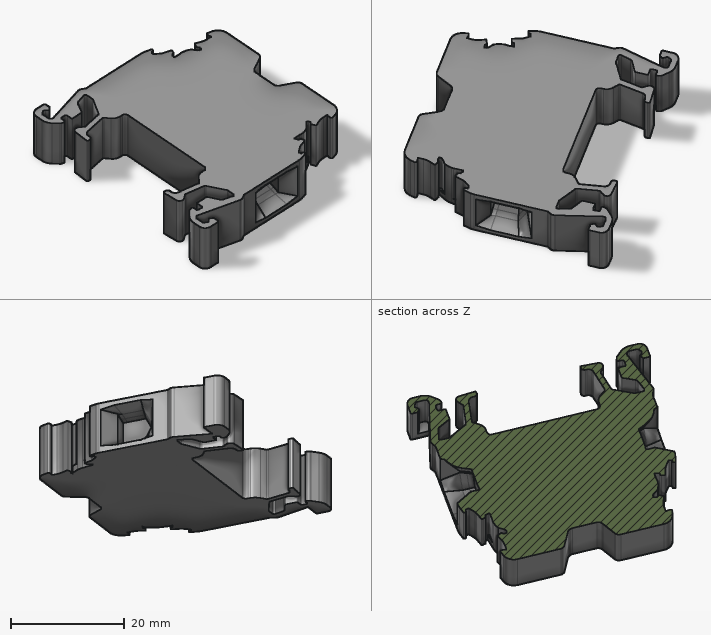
import cadquery as cq
import math

length = 44.35
height = 40.0
thickness = 9.5
web_thickness = 1.35
web_overlap = 0.2

half_length = length / 2
body_half = 20.1
mid_z = thickness / 2

slot_top = 11.9
slot_half = 10.4
arch_top = 10.4
hook_top = 3.45
hook_corner = 0.25
hook_floor = 1.2
hook_tip = -20.85
leg_root = (-18.18, hook_floor)
leg_bulge = (-20.7, 10.55)
groove_low = (-15.65, 28.35)
groove_bend = (-15.1, 31.65)
groove_high = (-13.9, 33.55)
groove_radius = 3.55
groove_foot_x = -15.25
notch_floor = 36.17
notch_floor_half = 2.9
notch_top_half = 4.9


def point_between(start, end, share):
    """Point on the straight line from start to end, at the given share of its length."""
    return tuple(a + share * (b - a) for a, b in zip(start, end))


rail_slot = [
    (-slot_half, slot_top, 0.7),
    (-slot_half, 9.7, 2.0),
    (-12.3, 8.25, 0.25),
]
foot = [
    (-11.35, 2.95, 0.98),
    (-9.55, 2.95, 0.6),
    (-9.65, 1.8, 0.18),
    (-14.27, 2.15, 0.8),
    (-12.72, 4.25, 0.2),
    (-13.48, 8.4, 0.35),
]
spring_leg = [
    (-17.1, arch_top, 0.15),
    (-19.05, arch_top, 0.35),
    (-18.35, 7.85, 0.8),
    (-15.85, 6.5, 0.1),
    (-15.85, 4.1, 0.1),
    (-17.38, 4.1, 0.25),
    (-17.38, 2.8, 0.25),
    (-16.05, 2.8, 0.35),
    (-16.35, 1.77, 0.45),
]
hook = [
    (-18.25, 0, 2.65),
    (-half_length, 0, 1.4),
    (-half_length, hook_top, hook_corner),
    (hook_tip, hook_top, 0),
    (-20.35, 2.75, 0.18),
    (-21.05, 2.05, 0.45),
    (-20.5, hook_floor, 0.35),
    (*leg_root, 0.58),
    (*leg_bulge, 1.1),
]
side = [
    (-body_half, 11.6, 0.2),
    (-body_half, 25.6, 2.65),
    (-19.6, 27.4, 0.2),
    (-19.1, 27.2, 0.15),
    (-19.0, 26.75, 0),
    (-18.5, 26.6, 0.15),
    (-17.55, 27.85, 1.35),
    (-17.0, 29.65, 0.18),
    (-16.2, 29.45, 0.15),
    (-16.05, 28.9, 0.1),
    (groove_foot_x, 28.65, 0.1),
]
label_groove = [
    (groove_foot_x, 29.92, 0),
    (*point_between(groove_low, groove_bend, 0.65), 0),
    (*groove_bend, groove_radius),
    (*point_between(groove_bend, groove_high, 0.35), 0),
    (-13.88, 32.9, 0.15),
    (-13.55, 33.25, 0.1),
    (-13.55, 33.65, 0.1),
    (-14.15, 33.8, 0.1),
    (-14.5, 33.42, 0.1),
    (-15.45, 33.85, 0.15),
]
shoulder = [
    (-14.75, 35.55, 3.55),
    (-14.75, 37.25, 0),
    (-15.25, 37.15, 0.1),
    (-16.0, 37.15, 0.3),
    (-15.25, height, 2.2),
]
top_notch = [
    (-notch_top_half, height, 1.05),
    (-notch_floor_half, notch_floor, 1.05),
]
half_outline = rail_slot + foot + spring_leg + hook + side + label_groove + shoulder + top_notch

pocket_wall = 23.05
pocket_tip = 0.2
pocket_sections = [
    (0, [(24.85, 3.45), (22.2, 3.8), (16.95, 3.8), (14.55, 3.45)]),
    (3.05, [(pocket_wall, 3.4), (22.2, 3.25), (17.95, 3.25), (16.25, pocket_tip)]),
    (4.2, [(pocket_wall, 2.9), (22.2, 2.85), (18.25, 2.85), (16.75, pocket_tip)]),
    (5.25, [(pocket_wall, 2.5), (22.2, 2.5), (18.55, 2.5), (17.25, pocket_tip)]),
]


def rounded_prism(corners, depth):
    """Extrude a closed outline from Z = 0, rounding every corner by its own radius."""
    tangents = []
    for i, (x, y, radius) in enumerate(corners):
        corner = cq.Vector(x, y)
        to_last = (cq.Vector(*corners[i - 1][:2]) - corner).normalized()
        to_next = (cq.Vector(*corners[(i + 1) % len(corners)][:2]) - corner).normalized()
        half_angle = to_last.getAngle(to_next) / 2
        reach = radius / math.tan(half_angle)
        bisector = (to_last + to_next).normalized()
        middle = corner + bisector * (radius / math.sin(half_angle) - radius)
        tangents.append((corner + to_last * reach, middle, corner + to_next * reach))

    first = tangents[0][0]
    path = cq.Workplane("XY").moveTo(first.x, first.y)
    for i, (start, middle, end) in enumerate(tangents):
        if i > 0:
            path = path.lineTo(start.x, start.y)
        if corners[i][2] > 0:
            path = path.threePointArc((middle.x, middle.y), (end.x, end.y))
    return path.close().extrude(depth)


def body():
    mirrored = [(-x, y, radius) for x, y, radius in reversed(half_outline)]
    return rounded_prism(half_outline + mirrored, thickness)


def hook_web():
    """Thin floor closing the space between the left hook and its leg."""
    lean = (leg_bulge[0] - leg_root[0]) / (leg_bulge[1] - leg_root[1])
    leg_at_hook_top = leg_root[0] + lean * (hook_top - hook_floor)
    outline = [
        (-half_length + hook_corner, hook_top),
        (leg_at_hook_top + web_overlap, hook_top),
        (leg_root[0] + web_overlap, hook_floor - web_overlap),
        (-half_length + hook_corner, hook_floor - web_overlap),
    ]
    return cq.Workplane("XY").polyline(outline).close().extrude(web_thickness)


def groove_web():
    """Thin floor with a curved edge inside the left label groove."""
    outline = [
        (*groove_low, 0),
        (*groove_bend, groove_radius),
        (*groove_high, 0),
        (-13.4, 33.8, 0),
        (-14.85, 28.35, 0),
    ]
    return rounded_prism(outline, web_thickness)


def closed_section(depth, upper_half):
    """Pocket section on a plane sunk into the left side of the body."""
    lower_half = [(y, -z) for y, z in reversed(upper_half)]
    plane = cq.Workplane("YZ", origin=(depth - body_half, 0, mid_z))
    return plane.polyline(upper_half + lower_half).close().wires().val()


def clamp_pocket():
    """Wire funnel that narrows stepwise from the left side inwards."""
    wires = [closed_section(depth, upper_half) for depth, upper_half in pocket_sections]
    return cq.Workplane("XY").add(cq.Solid.makeLoft(wires, True))


def on_both_sides(left):
    return left.union(left.mirror("YZ"))


result = (
    body()
    .union(on_both_sides(hook_web()))
    .union(on_both_sides(groove_web()))
    .cut(on_both_sides(clamp_pocket()))
)